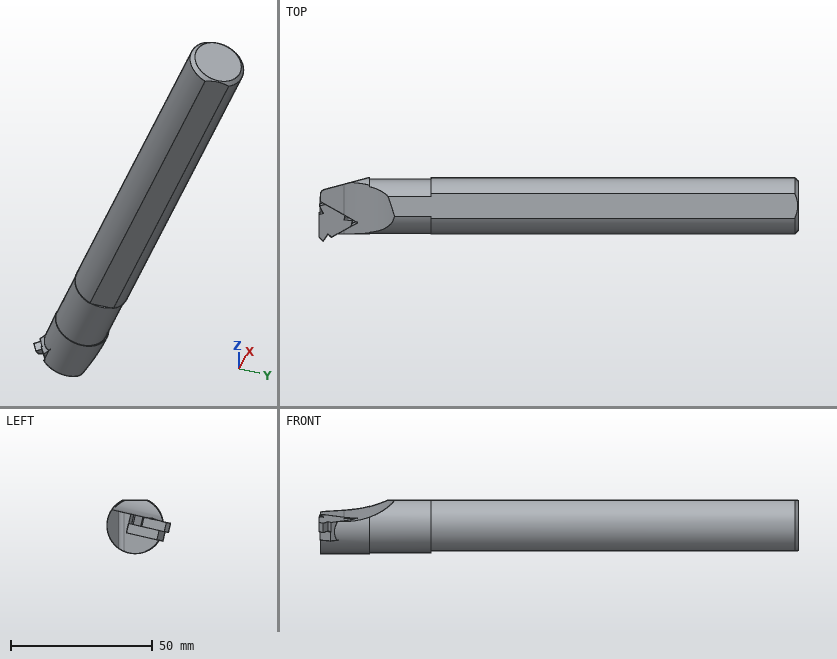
import cadquery as cq
import math

overall_length = 170.0
shank_radius = 10.0
flat_height = 9.0
end_chamfer = 1.4
shank_start = 39.8
neck_radius = 9.7
neck_axis_y = -0.2
neck_start = 18.0
nose_setback = 0.5

relief_start_y = 5.5
relief_angle = 15.0
nose_corner_radius = 2.0

seat_tilt = 13.0
seat_height = 3.5
scoop_start = 8.8
scoop_radius = 29.8
scoop_sweep = 60.0
scoop_width = 68.0

insert_thickness = 3.4
insert_inradius = 4.6
insert_center_y = -5.3
insert_corner = 5.3
tooth_tip = (-3.0, -6.8)
tooth_root = (-1.4, -4.2)
tooth_shoulder_offset = 2.9
pad_thickness = 3.4
insert_bottom = seat_height - insert_thickness
pad_cut_y = -3.4
pad_setback = 0.3
pad_cut_x = 4.0
pocket_opening = 1.7


def tilt(body):
    """Turn a shape from the level seat frame into the tilted seat frame."""
    return body.rotate((0, 0, 0), (1, 0, 0), seat_tilt)


def turned(point, turn):
    """Rotate a plan point by a number of thirds of a full turn."""
    angle = turn * math.tau / 3
    x, y = point
    return (x * math.cos(angle) - y * math.sin(angle), x * math.sin(angle) + y * math.cos(angle))


def three_fold_prism(corner_points, bottom, height):
    """Repeat the points of one corner three times and extrude the outline."""
    outline = [turned(point, turn) for turn in range(3) for point in corner_points]
    return (
        cq.Workplane("XY", origin=(insert_inradius, insert_center_y, bottom))
        .polyline(outline).close().extrude(height)
    )


def rod(start, end, radius, axis_y=0):
    return cq.Workplane("YZ", origin=(start, axis_y, 0)).circle(radius).extrude(end - start)


def make_blank():
    """Nose, neck and shank, with flats on the shank and on top of the whole bar."""
    shank = rod(shank_start, overall_length, shank_radius).faces(">X").chamfer(end_chamfer)
    shank_length = overall_length - shank_start
    slab = (
        cq.Workplane("XY")
        .box(shank_length, 2 * shank_radius, 2 * flat_height)
        .translate((shank_start + shank_length / 2, 0, 0))
    )
    neck = rod(neck_start, shank_start, neck_radius, neck_axis_y)
    nose = rod(nose_setback, neck_start, shank_radius)
    above_flat = (
        cq.Workplane("XY", origin=(overall_length / 2, 0, flat_height))
        .rect(overall_length, 2 * shank_radius).extrude(shank_radius)
    )
    return shank.intersect(slab).union(neck).union(nose).cut(above_flat)


def nose_relief(holder):
    """Taper the +Y side of the nose and round its front corner."""
    slope = math.tan(math.radians(relief_angle))
    end_y = relief_start_y + (shank_start - nose_setback) * slope
    envelope = (
        cq.Workplane("XY", origin=(0, 0, -shank_radius))
        .moveTo(nose_setback, -shank_radius)
        .lineTo(nose_setback, relief_start_y)
        .lineTo(shank_start, end_y)
        .lineTo(overall_length, end_y)
        .lineTo(overall_length, -shank_radius)
        .close().extrude(2 * shank_radius)
    )
    front_corner = cq.selectors.NearestToPointSelector((nose_setback, relief_start_y, 0))
    return holder.intersect(envelope.edges("|Z").edges(front_corner).fillet(nose_corner_radius))


def scoop_point(angle):
    """Point on the scoop arc, as (X, height), at an angle in degrees from its start."""
    turn = math.radians(angle)
    return (
        scoop_start + scoop_radius * math.sin(turn),
        seat_height + scoop_radius * (1 - math.cos(turn)),
    )


def make_scoop():
    """Flat seat that curves upward and runs out of the top of the bar."""
    rim = scoop_point(scoop_sweep)
    scoop = (
        cq.Workplane("XZ")
        .moveTo(0, seat_height)
        .lineTo(scoop_start, seat_height)
        .threePointArc(scoop_point(scoop_sweep / 2), rim)
        .lineTo(0, rim[1])
        .close().extrude(scoop_width / 2, both=True)
    )
    return tilt(scoop)


sharp_corner = (-insert_inradius, -insert_inradius * math.sqrt(3))


def make_pad():
    """Triangle under the cutting layer, with its outer -Y corner cut off."""
    edge_slope = math.tan(math.pi / 6)
    front = pad_setback - insert_inradius
    outline = [
        (front, -sharp_corner[1] - pad_setback * edge_slope),
        (front, pad_cut_y),
        (pad_cut_x - insert_inradius, sharp_corner[1] + pad_cut_x * edge_slope),
        turned(sharp_corner, 1),
    ]
    return (
        cq.Workplane("XY", origin=(insert_inradius, insert_center_y, insert_bottom - pad_thickness))
        .polyline(outline).close().extrude(pad_thickness)
    )


def make_insert():
    """Toothed cutting layer with its pad."""
    shoulder = turned((-insert_inradius, tooth_shoulder_offset), 1)
    corner = [(-insert_inradius, -insert_corner), tooth_tip, tooth_root, shoulder]
    cutter = three_fold_prism(corner, insert_bottom, insert_thickness)
    return tilt(cutter.union(make_pad()))


def make_pocket():
    """Sharp-cornered triangular recess as deep as the insert and open through the scoop."""
    floor = insert_bottom - pad_thickness
    depth = seat_height + pocket_opening - floor
    return tilt(three_fold_prism([sharp_corner], floor, depth))


holder = nose_relief(make_blank()).cut(make_scoop()).cut(make_pocket())
insert = make_insert()

result = cq.Compound.makeCompound([holder.solids().val(), insert.solids().val()])